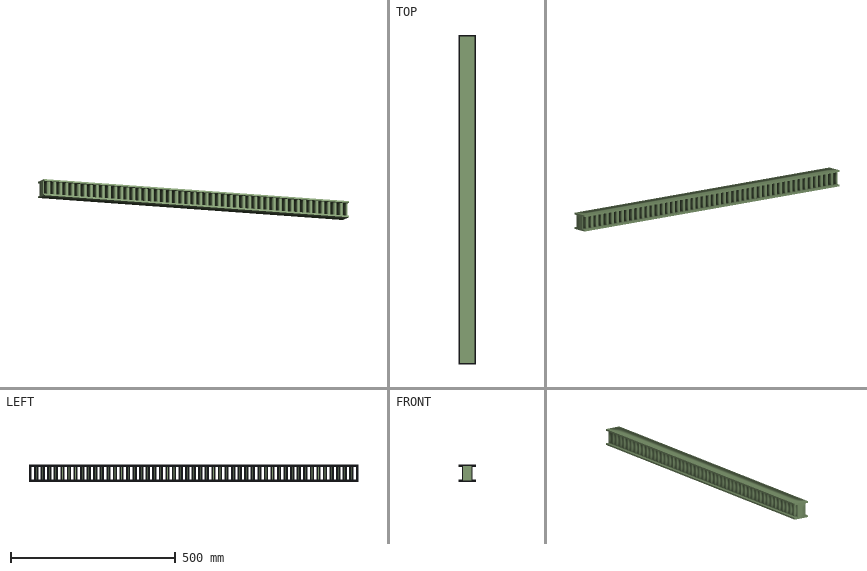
import cadquery as cq

length = 1000.0
width = 50.0
height = 50.0

flange_thickness = 5.0
web_thickness = 30.0
clear_height = height - 2 * flange_thickness

bay_length = 20.0
opening_length = 10.0
opening_chamfer = 2.5
bay_count = round(length / bay_length)


def make_beam():
    """Solid I-beam: two flanges joined by a thick web."""
    beam = cq.Workplane("XY").box(web_thickness, length, height)
    flange_offset = (height - flange_thickness) / 2
    for side in (-1, 1):
        flange = cq.Workplane("XY").box(width, length, flange_thickness)
        beam = beam.union(flange.translate((0, 0, side * flange_offset)))
    return beam


def make_opening():
    """Flange-to-flange cutter through the web, flared at both web faces by the edge chamfers."""
    face_x = web_thickness / 2
    throat_x = face_x - opening_chamfer
    throat_y = opening_length / 2
    mouth_y = throat_y + opening_chamfer
    outline = [
        (-face_x, -mouth_y),
        (-throat_x, -throat_y),
        (throat_x, -throat_y),
        (face_x, -mouth_y),
        (face_x, mouth_y),
        (throat_x, throat_y),
        (-throat_x, throat_y),
        (-face_x, mouth_y),
    ]
    base = cq.Workplane("XY").workplane(offset=-clear_height / 2)
    return base.polyline(outline).close().extrude(clear_height)


def make_opening_row():
    """All the openings, one per bay, leaving half-width posts at the beam ends."""
    opening = make_opening().val()
    first_centre = (bay_length - length) / 2
    row = [opening.translate(cq.Vector(0, first_centre + bay * bay_length, 0)) for bay in range(bay_count)]
    return cq.Workplane(cq.Compound.makeCompound(row))


result = make_beam().cut(make_opening_row())